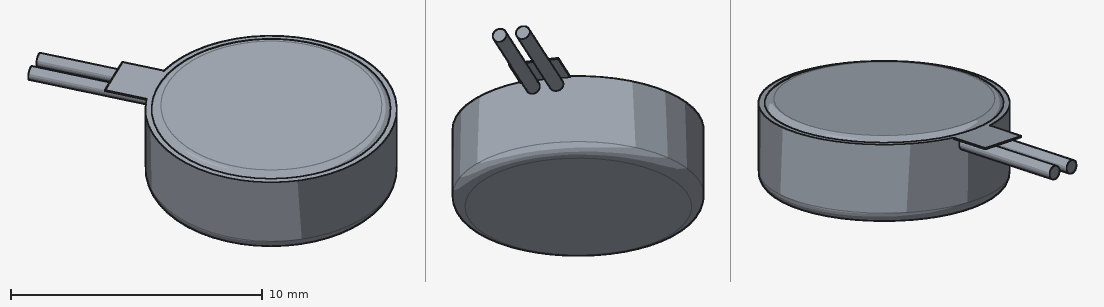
import cadquery as cq
import math

total_length = 15.0
housing_diameter = 10.0
total_height = 3.55

cover_rise = 0.18
cover_diameter = 9.51
cover_flat_diameter = 8.79
bottom_edge_radius = 0.5

tab_reach = 6.66
tab_width = 2.04
tab_thickness = 0.06

wire_diameter = 0.57
wire_spacing = 0.96

housing_radius = housing_diameter / 2
shoulder_height = total_height - cover_rise
wire_end_x = housing_radius - total_length
wire_axis_height = shoulder_height - tab_thickness - wire_diameter / 2


def make_can():
    """Round can with a rounded bottom edge, up to its flat shoulder."""
    can = cq.Workplane("XY").circle(housing_radius).extrude(shoulder_height)
    return can.faces("<Z").edges().fillet(bottom_edge_radius)


def make_cover():
    """Raised disc whose edge is an arc tangent to its flat top."""
    cover_radius = cover_diameter / 2
    flat_radius = cover_flat_diameter / 2
    edge_width = cover_radius - flat_radius
    arc_radius = (edge_width**2 + cover_rise**2) / (2 * cover_rise)
    half_sweep = math.asin(edge_width / arc_radius) / 2
    arc_middle = (
        flat_radius + arc_radius * math.sin(half_sweep),
        total_height - arc_radius * (1 - math.cos(half_sweep)),
    )
    return (
        cq.Workplane("XZ")
        .moveTo(0, shoulder_height)
        .lineTo(cover_radius, shoulder_height)
        .threePointArc(arc_middle, (flat_radius, total_height))
        .lineTo(0, total_height)
        .close()
        .revolve(360, (0, 0, 0), (0, 1, 0))
    )


def make_tab():
    """Thin plate flush with the shoulder, running from the can axis past its wall."""
    return (
        cq.Workplane("XY", origin=(-tab_reach / 2, 0, shoulder_height))
        .rect(tab_reach, tab_width)
        .extrude(-tab_thickness)
    )


def make_housing(can):
    return can.union(make_tab()).union(make_cover())


def make_wire(y, can):
    """Straight lead under the tab, ending on the curved wall of the can."""
    end_plane = cq.Plane(origin=(wire_end_x, y, wire_axis_height), xDir=(0, 0, 1), normal=(1, 0, 0))
    length_past_wall = -wire_end_x - housing_radius + wire_diameter
    wire = cq.Workplane(end_plane).circle(wire_diameter / 2).extrude(length_past_wall)
    return wire.cut(can)


can = make_can()
housing = make_housing(can)
wires = [make_wire(side * wire_spacing / 2, can) for side in (-1, 1)]

result = cq.Compound.makeCompound([housing.solids().val(), *[wire.solids().val() for wire in wires]])